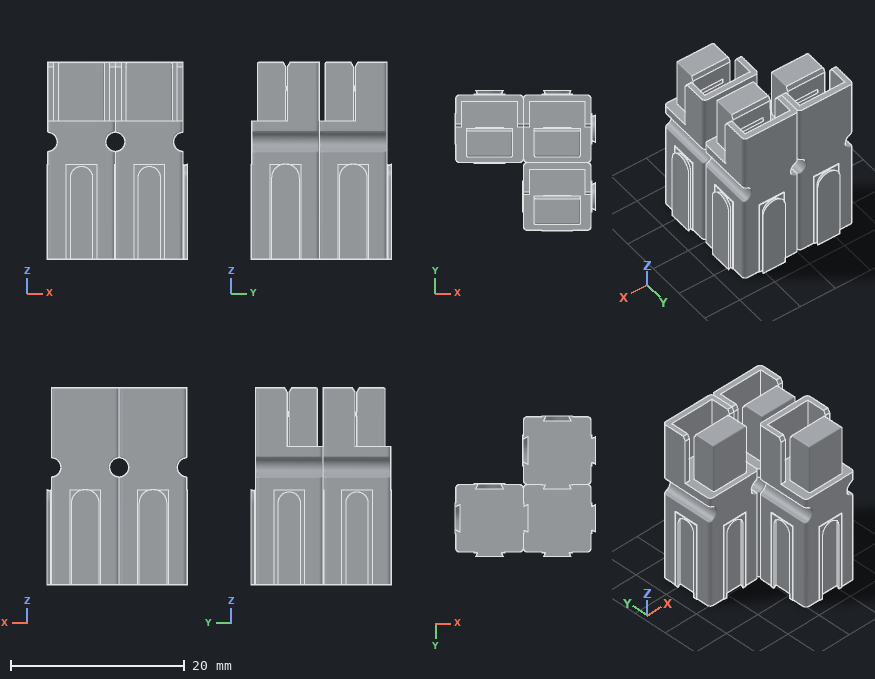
import cadquery as cq
import math

BODY_WIDTH = 7.81
HALF = BODY_WIDTH / 2
TOTAL_HEIGHT = 22.7
SHELF_HEIGHT = 15.95
CORNER_RADIUS = 0.48

SIDE_WALL = 0.68
BACK_WALL = 0.77
ARM_FRONT = 4.1
LEAD_IN_RUN = 0.32
LEAD_IN_ANGLE = 60.0
LEAD_IN_DROP = LEAD_IN_RUN * math.tan(math.radians(LEAD_IN_ANGLE))

BLOCK_WIDTH = 5.31
BLOCK_FRONT = 0.65
BLOCK_BACK = 3.95
BLOCK_FILLET = 0.18

RIDGE_WIDTH = 3.18
RIDGE_HEIGHT = 0.6
RIDGE_PROUD = 0.1
RIDGE_BOTTOM = 19.4

CHANNEL_RADIUS = 1.1
CHANNEL_HEIGHT = 13.54
CHANNEL_FILLET = 0.18

PAD_WIDTH = 3.57
PAD_HEIGHT = 10.9
PAD_PROUD = 0.1
DOVETAIL_REACH = 0.52
DOVETAIL_MOUTH_RADIUS = 1.3
DOVETAIL_TIP_RADIUS = 1.6
DOVETAIL_ARCH_HEIGHT = 9.4


def block_between(x_min, x_max, y_min, y_max, z_min, z_max):
    """Box given by its limits along each axis."""
    size = (x_max - x_min, y_max - y_min, z_max - z_min)
    return cq.Workplane("XY").box(*size, centered=False).translate((x_min, y_min, z_min))


def shell():
    """Square body with rounded corners, cut away above the shelf to leave a U-shaped hood."""
    body = cq.Workplane("XY").rect(BODY_WIDTH, BODY_WIDTH).extrude(TOTAL_HEIGHT)
    body = body.edges("|Z").fillet(CORNER_RADIUS)
    arm_y = ARM_FRONT - HALF
    open_front = (
        cq.Workplane("YZ")
        .moveTo(-BODY_WIDTH, SHELF_HEIGHT)
        .lineTo(arm_y, SHELF_HEIGHT)
        .lineTo(arm_y, TOTAL_HEIGHT - LEAD_IN_DROP)
        .lineTo(arm_y + LEAD_IN_RUN, TOTAL_HEIGHT)
        .lineTo(-BODY_WIDTH, TOTAL_HEIGHT)
        .close()
        .extrude(HALF, both=True)
    )
    inner_x = HALF - SIDE_WALL
    cavity = block_between(-inner_x, inner_x, -HALF, HALF - BACK_WALL, SHELF_HEIGHT, TOTAL_HEIGHT)
    return round_channels(body).cut(open_front).cut(cavity)


def round_channels(body):
    """Cut the two pin channels and round over every edge they leave."""
    pins = (
        cq.Workplane("XZ")
        .pushPoints([(-HALF, CHANNEL_HEIGHT), (HALF, CHANNEL_HEIGHT)])
        .circle(CHANNEL_RADIUS)
        .extrude(BODY_WIDTH, both=True)
    )
    reach = CHANNEL_RADIUS + CHANNEL_FILLET
    near_channels = cq.selectors.BoxSelector(
        (-BODY_WIDTH, -BODY_WIDTH, CHANNEL_HEIGHT - reach),
        (BODY_WIDTH, BODY_WIDTH, CHANNEL_HEIGHT + reach),
        boundingbox=True,
    )
    return body.cut(pins).edges(near_channels).fillet(CHANNEL_FILLET)


def tongue_block():
    """Plug on the shelf with rounded front and top edges, a sloped back edge and a snap ridge."""
    front_y = BLOCK_FRONT - HALF
    back_y = BLOCK_BACK - HALF
    block = block_between(-BLOCK_WIDTH / 2, BLOCK_WIDTH / 2, front_y, back_y, SHELF_HEIGHT, TOTAL_HEIGHT)
    block = block.edges("(<Y and |Z) or (>Z and (not >Y))").fillet(BLOCK_FILLET)
    lead_in = (
        cq.Workplane("YZ")
        .moveTo(back_y, TOTAL_HEIGHT)
        .lineTo(back_y - LEAD_IN_RUN, TOTAL_HEIGHT)
        .lineTo(back_y, TOTAL_HEIGHT - LEAD_IN_DROP)
        .close()
        .extrude(BLOCK_WIDTH, both=True)
    )
    ridge = (
        cq.Workplane("YZ")
        .moveTo(back_y, RIDGE_BOTTOM)
        .lineTo(back_y, RIDGE_BOTTOM + RIDGE_HEIGHT)
        .threePointArc((back_y + RIDGE_PROUD, RIDGE_BOTTOM + RIDGE_HEIGHT / 2), (back_y, RIDGE_BOTTOM))
        .close()
        .extrude(RIDGE_WIDTH / 2, both=True)
    )
    return block.cut(lead_in).union(ridge)


def pad():
    """Thin raised pad on the +X face, sunk to the middle of the body for a clean join."""
    half_width = PAD_WIDTH / 2
    return block_between(0, HALF + PAD_PROUD, -half_width, half_width, 0, PAD_HEIGHT)


def arch(workplane, radius):
    """Upright outline with a round upper end and a flat foot at the base."""
    return (
        workplane.moveTo(-radius, 0)
        .lineTo(-radius, DOVETAIL_ARCH_HEIGHT)
        .threePointArc((0, DOVETAIL_ARCH_HEIGHT + radius), (radius, DOVETAIL_ARCH_HEIGHT))
        .lineTo(radius, 0)
        .close()
    )


def dovetail():
    """Dovetail rail on the +X face, widening from its mouth inside the face to its tip."""
    mouth = arch(cq.Workplane("YZ").workplane(offset=HALF - PAD_PROUD), DOVETAIL_MOUTH_RADIUS)
    tip = arch(mouth.workplane(offset=PAD_PROUD + DOVETAIL_REACH), DOVETAIL_TIP_RADIUS)
    return tip.loft(ruled=True)


def turned(shape, angle):
    """Shape turned about the vertical axis of the housing."""
    return shape.rotate((0, 0, 0), (0, 0, 1), angle)


def housing():
    """One connector housing: rails on +X and +Y, matching grooves on -X and -Y, pads all round."""
    body = shell().union(tongue_block())
    for angle in (0, 90, 180, 270):
        body = body.union(turned(pad(), angle))
    rail = dovetail()
    groove = rail.translate((-BODY_WIDTH, 0, 0))
    for angle in (0, 90):
        body = body.union(turned(rail, angle)).cut(turned(groove, angle))
    return body


NEIGHBOUR_SHIFTS = [(-BODY_WIDTH, 0, 0), (0, -BODY_WIDTH, 0)]

corner_housing = housing()
housings = []
for shift in NEIGHBOUR_SHIFTS:
    neighbour = housing().translate(shift)
    corner_housing = corner_housing.cut(neighbour)
    housings.append(neighbour.solids().val())
housings.append(corner_housing.solids().val())

result = cq.Compound.makeCompound(housings)